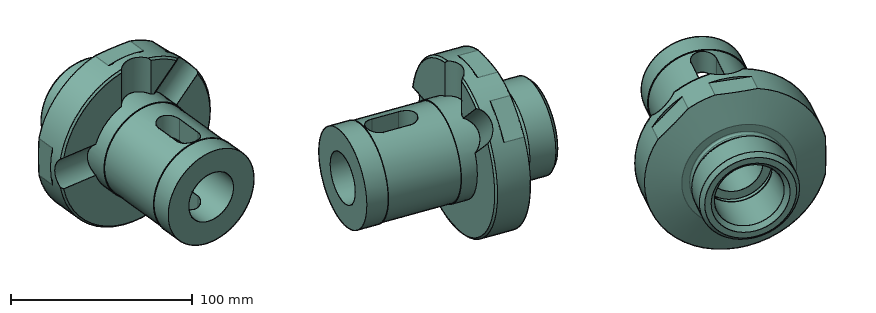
import cadquery as cq

length = 119
nose_end = 18.3
groove_start = 20.1
flange_front = 23.8
flange_rim_start = 29.7
flange_back = 51.2
waist_start = 60.9
waist_end = 105.7

nose_radius = 28.5
groove_radius = 26.8
cone_radius = 32.7
flange_radius = 52.4
tube_radius = 29.7
waist_radius = 29.3
counterbore_radius = 19.9
bore_radius = 15.5

nose_chamfer = 2.4
groove_fillet = 1.4
flange_chamfer = 1.2
counterbore_depth = 30.9
relief_start = 27.4
relief_depth = 0.7
counterbore_chamfer = 2.6

station_angles = (-45, 0, 90)
flat_distance = 50.9
flat_end = 42.1
notch_radius = 12.6
notch_depth = 5.2

slot_start = 73.8
slot_end = 104.7
slot_width = 14.5


def make_spindle():
    """Solid nose, tube and waist, revolved about X."""
    return (
        cq.Workplane("XY")
        .moveTo(0, 0)
        .lineTo(0, nose_radius - nose_chamfer)
        .lineTo(nose_chamfer, nose_radius)
        .lineTo(nose_end, nose_radius)
        .lineTo(groove_start, groove_radius)
        .lineTo(flange_front - groove_fillet, groove_radius)
        .radiusArc((flange_front, groove_radius + groove_fillet), -groove_fillet)
        .lineTo(flange_front, tube_radius)
        .lineTo(waist_start, tube_radius)
        .lineTo(waist_start, waist_radius)
        .lineTo(waist_end, waist_radius)
        .lineTo(waist_end, tube_radius)
        .lineTo(length, tube_radius)
        .lineTo(length, 0)
        .close()
        .revolve(360, (0, 0, 0), (1, 0, 0))
    )


def make_flange():
    """Solid disc with a conical front and a chamfered back edge, revolved about X."""
    return (
        cq.Workplane("XY")
        .moveTo(flange_front, 0)
        .lineTo(flange_front, cone_radius)
        .lineTo(flange_rim_start, flange_radius)
        .lineTo(flange_back - flange_chamfer, flange_radius)
        .lineTo(flange_back, flange_radius - flange_chamfer)
        .lineTo(flange_back, 0)
        .close()
        .revolve(360, (0, 0, 0), (1, 0, 0))
    )


def make_bore():
    """Through bore with a chamfered counterbore that ends in a relief groove."""
    relief_radius = counterbore_radius + relief_depth
    return (
        cq.Workplane("XY")
        .moveTo(0, 0)
        .lineTo(0, counterbore_radius + counterbore_chamfer)
        .lineTo(counterbore_chamfer, counterbore_radius)
        .lineTo(relief_start, counterbore_radius)
        .lineTo(relief_start + relief_depth, relief_radius)
        .lineTo(counterbore_depth, relief_radius)
        .lineTo(counterbore_depth, bore_radius)
        .lineTo(length, bore_radius)
        .lineTo(length, 0)
        .close()
        .revolve(360, (0, 0, 0), (1, 0, 0))
    )


def make_flat():
    """Block that trims the front of the flange rim to a flat on the +Z side."""
    return (
        cq.Workplane("XY")
        .workplane(offset=flat_distance)
        .rect(2 * flat_end, 2 * flange_radius)
        .extrude(flange_radius)
    )


def make_notch():
    """Radial scoop in the back of the flange; the spindle later fills its inner end."""
    centre_x = flange_back - notch_depth + notch_radius
    return cq.Workplane("XY").center(centre_x, 0).circle(notch_radius).extrude(2 * flange_radius)


def make_slot():
    """Round-ended slot crossing the whole waist along Z."""
    return (
        cq.Workplane("XY")
        .center((slot_start + slot_end) / 2, 0)
        .slot2D(slot_end - slot_start, slot_width)
        .extrude(2 * tube_radius, both=True)
    )


flange = make_flange()
for angle in station_angles:
    for cutter in (make_flat(), make_notch()):
        flange = flange.cut(cutter.rotate((0, 0, 0), (1, 0, 0), angle))

result = make_spindle().union(flange).cut(make_bore()).cut(make_slot())